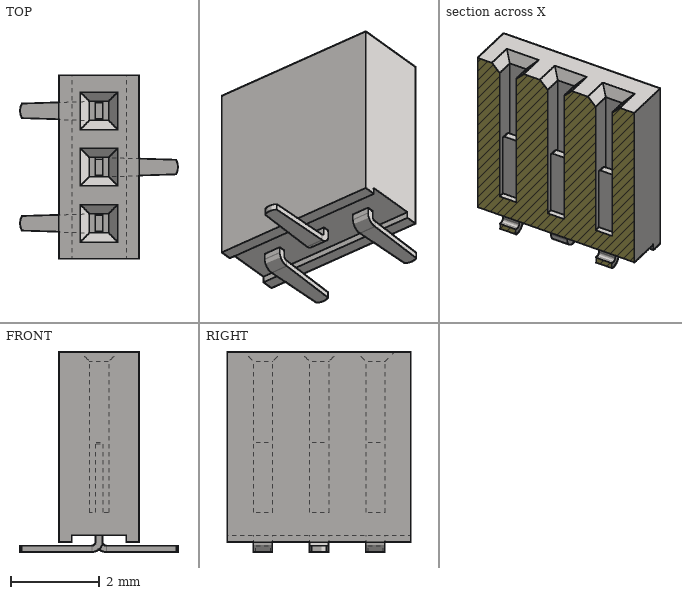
import cadquery as cq
import math

body_width = 1.82
body_length = 4.16
body_top = 4.53
body_bottom = 0.225
rail_width = 0.3
channel_top = 0.38

contact_count = 3
pitch = 1.275
mouth_size = 0.845
socket_size = 0.435
lead_in_depth = (mouth_size - socket_size) / 2
socket_floor = 0.905

blade_thickness = 0.168
blade_top = 2.49
blade_end_chamfer = 0.035
contact_width = socket_size
foot_thickness = 0.15
foot_reach = 1.79
foot_tip_width = 0.335
tip_bulge = 0.045
bend_start = 0.16
bend_inner_radius = bend_start - blade_thickness / 2
bend_outer_radius = bend_start + blade_thickness / 2
bend_inner_top = foot_thickness + bend_inner_radius
embed = 0.045


def make_housing():
    height = body_top - body_bottom
    housing = cq.Workplane("XY").box(body_width, body_length, height, centered=(True, True, False))
    channel = cq.Workplane("XY").box(
        body_width - 2 * rail_width, body_length, channel_top - body_bottom,
        centered=(True, True, False),
    )
    return housing.cut(channel).translate((0, 0, body_bottom))


def make_socket():
    """Square well with a funnel-shaped mouth."""
    well = (
        cq.Workplane("XY").workplane(offset=socket_floor)
        .rect(socket_size, socket_size).extrude(body_top - socket_floor)
    )
    funnel = (
        cq.Workplane("XY").workplane(offset=body_top - lead_in_depth)
        .rect(socket_size, socket_size)
        .workplane(offset=lead_in_depth)
        .rect(mouth_size, mouth_size).loft(ruled=True)
    )
    return well.union(funnel)


def make_blade():
    """Upright blade with chamfered ends, rooted in the channel roof."""
    blade = (
        cq.Workplane("XY").workplane(offset=channel_top)
        .rect(blade_thickness, contact_width).extrude(blade_top - channel_top)
    )
    return blade.faces(">Z").edges("|X").chamfer(blade_end_chamfer)


def make_leg():
    """Bent leg whose foot points toward +X."""
    half = blade_thickness / 2
    diagonal = math.sqrt(0.5)
    inner_middle = (
        bend_start - bend_inner_radius * diagonal,
        bend_inner_top - bend_inner_radius * diagonal,
    )
    outer_middle = (
        bend_start - bend_outer_radius * diagonal,
        bend_outer_radius * (1 - diagonal),
    )
    leg_top = channel_top + embed
    bend = (
        cq.Workplane("XZ")
        .moveTo(bend_start, 0)
        .threePointArc(outer_middle, (-half, bend_outer_radius))
        .lineTo(-half, leg_top)
        .lineTo(half, leg_top)
        .lineTo(half, bend_inner_top)
        .threePointArc(inner_middle, (bend_start, foot_thickness))
        .close()
        .extrude(contact_width / 2, both=True)
    )
    foot = (
        cq.Workplane("XY")
        .moveTo(bend_start, -contact_width / 2)
        .lineTo(foot_reach - tip_bulge, -foot_tip_width / 2)
        .threePointArc((foot_reach, 0), (foot_reach - tip_bulge, foot_tip_width / 2))
        .lineTo(bend_start, contact_width / 2)
        .close()
        .extrude(foot_thickness)
    )
    return bend.union(foot)


result = make_housing()
for index in range(contact_count):
    y = (index - (contact_count - 1) / 2) * pitch
    foot_angle = 180 if index % 2 == 0 else 0
    leg = make_leg().rotate((0, 0, 0), (0, 0, 1), foot_angle)
    result = result.cut(make_socket().translate((0, y, 0)))
    result = result.union(make_blade().union(leg).translate((0, y, 0)))